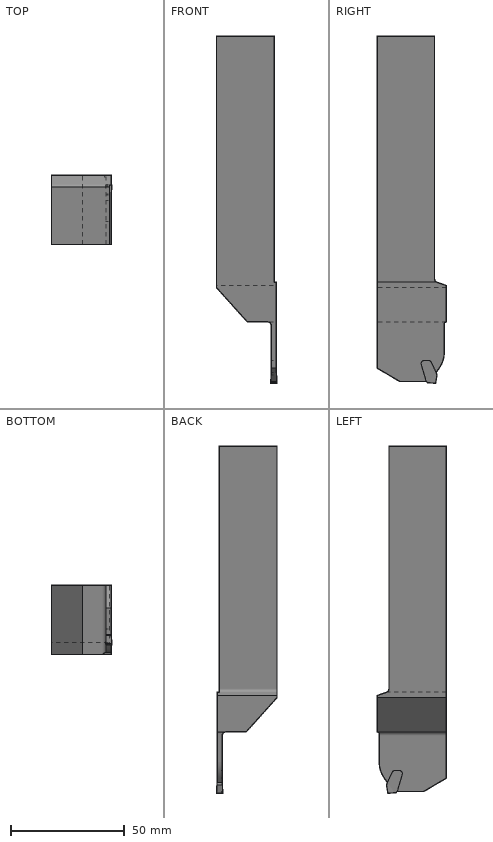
import cadquery as cq
import math

TOTAL_LENGTH = 152.4
SHANK_DEPTH = 25.3
SHANK_RIGHT = 25.5
HEAD_DEPTH = 30.5
HEAD_BOTTOM = 27.0
HEAD_BEVEL_TOP = 42.0
HEAD_BEVEL_X = 13.5
LEDGE_OUTER_Z = 43.0
LEDGE_INNER_Z = 44.8
LEDGE_RADIUS = 1.5
ROOT_RADIUS = 1.7
BACK_ROOT_RADIUS = 0.84

BLADE_RIGHT = 26.4
BLADE_THICKNESS = 2.3
BLADE_LEFT = BLADE_RIGHT - BLADE_THICKNESS
BLADE_CENTER = BLADE_RIGHT - BLADE_THICKNESS / 2
BLADE_STEP_Z = 44.5
BLADE_DEPTH = 29.5
BLADE_BOTTOM = 0.8
BLADE_FRONT_Z = 6.7
BLADE_BOTTOM_FRONT = 10.0
NOSE_FOOT_Y = 23.0
NOSE_ANGLE = 36.0
NOSE_RADIUS = 12.2

INSERT_TOP = 10.0
INSERT_CORNER = 1.4
CUTTING_WIDTH = 2.9
CUTTING_CORNER_Y = 25.8
INSERT_TOP_FRONT_Y = 18.9
INSERT_TOP_BACK_Y = 23.5
INSERT_HEEL = (22.1, 0.3)
INSERT_FRONT_FOOT = (21.5, 1.2)
INSERT_SHOULDER = (26.0, 4.5)
INSERT_RAKE_TOP = (26.4, 3.7)

NOSE_DIRECTION = (math.sin(math.radians(NOSE_ANGLE)), math.cos(math.radians(NOSE_ANGLE)))
NOSE_TOP_Z = BLADE_BOTTOM + (BLADE_DEPTH - NOSE_FOOT_Y) / math.tan(math.radians(NOSE_ANGLE))


def extrude_across(outline, left, right):
    """Extrude a closed (Y, Z) outline from X = left to X = right."""
    return cq.Workplane("YZ", origin=(left, 0, 0)).polyline(outline).close().extrude(right - left)


def edges_at(y, z, length):
    """Select the X-direction edge close to a (Y, Z) position."""
    reach = 0.08
    return cq.selectors.BoxSelector(
        (-length, y - reach, z - reach), (length * 2, y + reach, z + reach)
    )


def make_side_silhouette():
    """Holder outline seen along X, with the ledge, root and nose rounded."""
    outline = [
        (0, BLADE_FRONT_Z),
        (BLADE_BOTTOM_FRONT, BLADE_BOTTOM),
        (NOSE_FOOT_Y, BLADE_BOTTOM),
        (BLADE_DEPTH, NOSE_TOP_Z),
        (BLADE_DEPTH, HEAD_BOTTOM),
        (HEAD_DEPTH, HEAD_BOTTOM),
        (HEAD_DEPTH, LEDGE_OUTER_Z),
        (SHANK_DEPTH, LEDGE_INNER_Z),
        (SHANK_DEPTH, TOTAL_LENGTH),
        (0, TOTAL_LENGTH),
    ]
    roundings = [
        (BLADE_DEPTH, NOSE_TOP_Z, NOSE_RADIUS),
        (BLADE_DEPTH, HEAD_BOTTOM, BACK_ROOT_RADIUS),
        (SHANK_DEPTH, LEDGE_INNER_Z, LEDGE_RADIUS),
    ]
    side = extrude_across(outline, 0, BLADE_RIGHT)
    for y, z, radius in roundings:
        side = side.edges(edges_at(y, z, BLADE_RIGHT)).fillet(radius)
    return side


def make_front_silhouette():
    """Holder outline seen along Y, with the bevelled head and the thin blade."""
    outline = [
        (0, HEAD_BEVEL_TOP),
        (HEAD_BEVEL_X, HEAD_BOTTOM),
        (BLADE_LEFT, HEAD_BOTTOM),
        (BLADE_LEFT, 0),
        (BLADE_RIGHT, 0),
        (BLADE_RIGHT, BLADE_STEP_Z),
        (SHANK_RIGHT, BLADE_STEP_Z),
        (SHANK_RIGHT, TOTAL_LENGTH),
        (0, TOTAL_LENGTH),
    ]
    front = cq.Workplane("XZ").polyline(outline).close().extrude(-HEAD_DEPTH)
    root = cq.selectors.NearestToPointSelector((BLADE_LEFT, HEAD_DEPTH / 2, HEAD_BOTTOM))
    return front.edges(root).fillet(ROOT_RADIUS)


def make_insert():
    """Cutting insert: flush with the blade, flaring beyond the nose edge."""
    outline = [
        (CUTTING_CORNER_Y, 0),
        INSERT_HEEL,
        INSERT_FRONT_FOOT,
        (INSERT_TOP_FRONT_Y, INSERT_TOP),
        (INSERT_TOP_BACK_Y, INSERT_TOP),
        INSERT_SHOULDER,
        INSERT_RAKE_TOP,
    ]
    blank = extrude_across(outline, BLADE_CENTER - CUTTING_WIDTH / 2, BLADE_CENTER + CUTTING_WIDTH / 2)
    for corner_y in (INSERT_TOP_FRONT_Y, INSERT_TOP_BACK_Y):
        blank = blank.edges(edges_at(corner_y, INSERT_TOP, BLADE_RIGHT)).fillet(INSERT_CORNER)

    along_y, along_z = NOSE_DIRECTION
    flare_reach = (CUTTING_CORNER_Y - NOSE_FOOT_Y) * along_z + BLADE_BOTTOM * along_y
    nose_plane = cq.Plane(
        origin=(BLADE_CENTER, NOSE_FOOT_Y, BLADE_BOTTOM),
        xDir=(1, 0, 0),
        normal=(0, along_y, along_z),
    )
    half_body = BLADE_THICKNESS / 2
    half_cut = CUTTING_WIDTH / 2
    section = [
        (-half_body, -HEAD_DEPTH),
        (half_body, -HEAD_DEPTH),
        (half_body, 0),
        (half_cut, flare_reach),
        (-half_cut, flare_reach),
        (-half_body, 0),
    ]
    limits = cq.Workplane(nose_plane).polyline(section).close().extrude(HEAD_DEPTH, both=True)
    return blank.intersect(limits)


def make_holder(insert):
    """One-piece shank, head and blade, with a seat matching the insert."""
    holder = make_side_silhouette().intersect(make_front_silhouette())
    return holder.cut(insert)


insert = make_insert()
holder = make_holder(insert)
result = cq.Compound.makeCompound([holder.val(), insert.val()])